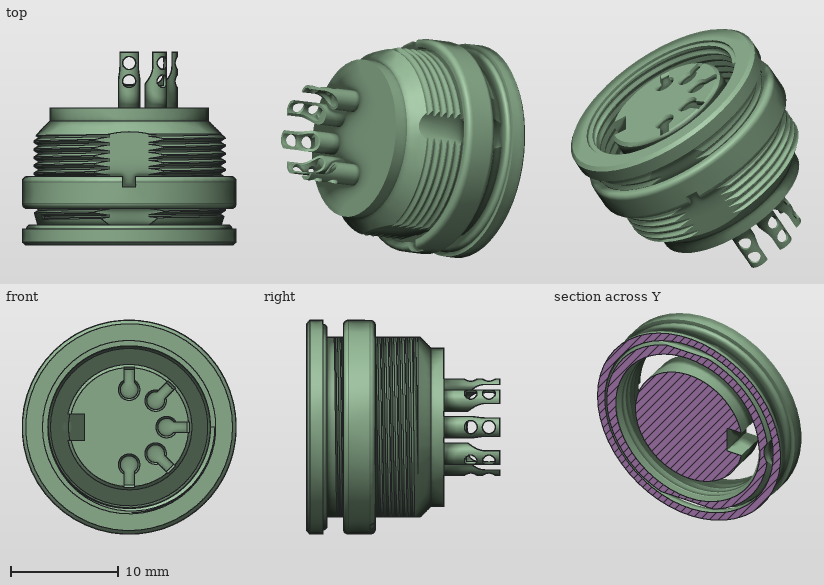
import cadquery as cq
import math


flange_radius = 10
flange_depth = 1.52
flange_chamfer_radial = 0.35
flange_chamfer_axial = 0.3
shoulder_radius = 9.6
shoulder_fillet = 0.38
shoulder_y = flange_depth + shoulder_fillet

collar_radius = 7.4
collar_y = 11.6
rear_y = 12.82
thread_radius = 9
thread_root_radius = 8.6
undercut_end_y = shoulder_y + 3 * (thread_radius - thread_root_radius)
thread_pitch = 0.75
thread_start_y = 2.6
thread_start_angle = 203
thread_turns = 11
thread_root_width = 0.18
thread_mouth_width = 0.65
thread_clearance = 0.05
flat_height = 8.4
scoop_radius = 1.9
scoop_bottom = 8.2

nut_front_y = 3.42
nut_width = 3
nut_fillet = 0.5
nut_relief_radius = 9.15
nut_relief_depth = 0.8
nut_slot_width = 1.22
nut_slot_depth = 1

counterbore_radius = 8.1
counterbore_depth = 0.25
bore_radius = 7.6
bore_step_y = 4.45
inner_bore_radius = 7.35
cavity_floor_y = 8
inner_thread_root_radius = 8
inner_thread_turns = 5.5

insert_radius = 5.85
insert_face_y = 0.6
insert_chamfer = 0.3
key_width = 2.5
key_bottom_radius = 4.15
key_seat_radius = 5.67
key_seat_height = 0.4

contact_circle_radius = 3.5
contact_angles = (-90, -45, 0, 45, 90)
socket_radius = 1
socket_floor_radius = 0.83
socket_taper_depth = 0.3
socket_depth = 0.5
socket_slot_width = 0.98
socket_slot_end = 5.4
socket_slot_chamfer = 0.32

pin_radius = 1
pin_end_y = 18.05
cup_radius = 0.75
cup_floor_y = 14.92
cup_cut_radius = 1.75
cup_lip_offset = 0.48
wire_hole_radius = 0.6
wire_hole_ys = (15.32, 17.02)

overlap = 0.2


def turned(points):
    """Solid of revolution about Y from (radius, y) corners."""
    return cq.Workplane("XY").polyline(points).close().revolve(360, (0, 0), (0, 1))


def cylinder(radius, start_y, end_y):
    """Cylinder along the part axis."""
    return turned([(0, start_y), (radius, start_y), (radius, end_y), (0, end_y)])


def about_axis(shape, angle):
    return shape.rotate((0, 0, 0), (0, 1, 0), angle)


def helical_groove(mouth_radius, root_radius, start_y, turns, start_angle):
    """Right-handed trapezoid groove; its flanks run a little past the mouth radius."""
    taper = (thread_mouth_width - thread_root_width) / 2 / abs(mouth_radius - root_radius)
    clear_radius = mouth_radius + math.copysign(thread_clearance, mouth_radius - root_radius)
    half_clear = thread_mouth_width / 2 + taper * thread_clearance
    half_root = thread_root_width / 2
    helix = cq.Wire.makeHelix(thread_pitch, turns * thread_pitch, mouth_radius)
    profile = cq.Workplane("XZ").polyline([
        (clear_radius, -half_clear),
        (root_radius, -half_root),
        (root_radius, half_root),
        (clear_radius, half_clear),
    ]).close()
    groove = profile.sweep(cq.Workplane(obj=helix), isFrenet=True)
    groove = groove.rotate((0, 0, 0), (1, 0, 0), -90).translate((0, start_y, 0))
    return about_axis(groove, start_angle)


def make_sleeve():
    cone_start_y = collar_y - (thread_radius - collar_radius)
    sleeve = turned([
        (0, 0),
        (thread_root_radius, 0),
        (thread_root_radius, shoulder_y),
        (thread_radius, undercut_end_y),
        (thread_radius, cone_start_y),
        (collar_radius, collar_y),
        (collar_radius, rear_y),
        (0, rear_y),
    ])
    groove = helical_groove(
        thread_radius, thread_root_radius, thread_start_y, thread_turns, thread_start_angle
    )
    sleeve = about_axis(sleeve, 90).cut(groove)
    flats = cq.Workplane("XY").box(3 * thread_radius, rear_y, 2 * flat_height, centered=(True, False, True))
    sleeve = sleeve.intersect(flats)
    scoop = cylinder(scoop_radius, 0, collar_y).translate((-scoop_bottom - scoop_radius, 0, 0))
    return sleeve.cut(scoop)


def make_flange():
    rim = turned([
        (0, 0),
        (flange_radius - flange_chamfer_radial, 0),
        (flange_radius, flange_chamfer_axial),
        (flange_radius, flange_depth),
        (0, flange_depth),
    ])
    shoulder = (
        cq.Workplane("XY")
        .moveTo(0, flange_depth)
        .lineTo(shoulder_radius, flange_depth)
        .radiusArc((shoulder_radius - shoulder_fillet, shoulder_y), -shoulder_fillet)
        .lineTo(0, shoulder_y)
        .close()
        .revolve(360, (0, 0), (0, 1))
    )
    return rim.union(shoulder)


def make_nut():
    nut_rear_y = nut_front_y + nut_width
    nut = cylinder(flange_radius, nut_front_y, nut_rear_y).edges().fillet(nut_fillet)
    nut = nut.cut(cylinder(nut_relief_radius, nut_front_y, nut_front_y + nut_relief_depth))
    nut = nut.cut(cylinder(nut_relief_radius, nut_rear_y - nut_relief_depth, nut_rear_y))
    slots = cq.Workplane("XY").box(nut_slot_width, 2 * nut_slot_depth, 2 * flange_radius)
    return nut.cut(slots.translate((0, nut_rear_y, 0)))


def make_cavity():
    """Stepped and threaded front bore, down to the floor around the insert."""
    bore_step = bore_radius - inner_bore_radius
    cavity = turned([
        (0, 0),
        (counterbore_radius, 0),
        (counterbore_radius, counterbore_depth),
        (bore_radius, counterbore_depth),
        (bore_radius, bore_step_y),
        (inner_bore_radius, bore_step_y + bore_step),
        (inner_bore_radius, cavity_floor_y),
        (0, cavity_floor_y),
    ])
    insert = turned([
        (0, insert_face_y),
        (insert_radius - insert_chamfer, insert_face_y),
        (insert_radius, insert_face_y + insert_chamfer),
        (insert_radius, cavity_floor_y),
        (0, cavity_floor_y),
    ])
    groove = helical_groove(
        bore_radius, inner_thread_root_radius, counterbore_depth, inner_thread_turns, 0
    )
    return about_axis(cavity.cut(insert), 180).union(groove)


def make_keyway():
    """Rectangular keyway along the -X side of the insert, with a low round seat at its floor."""
    key_height = insert_radius + overlap - key_bottom_radius
    keyway = cq.Workplane("XY").box(key_height, cavity_floor_y, key_width, centered=(False, False, True))
    keyway = keyway.translate((-insert_radius - overlap, 0, 0))
    return keyway.cut(cylinder(key_seat_radius, cavity_floor_y - key_seat_height, cavity_floor_y))


def make_socket():
    """Contact hole on +X with a tapered mouth and a slot whose end wall is chamfered."""
    floor_y = insert_face_y + socket_depth
    hole = turned([
        (0, insert_face_y),
        (socket_radius, insert_face_y),
        (socket_floor_radius, insert_face_y + socket_taper_depth),
        (socket_floor_radius, floor_y),
        (0, floor_y),
    ]).translate((contact_circle_radius, 0, 0))
    slot = (
        cq.Workplane("XY")
        .polyline([
            (contact_circle_radius, insert_face_y),
            (socket_slot_end + socket_slot_chamfer, insert_face_y),
            (socket_slot_end, insert_face_y + socket_slot_chamfer),
            (socket_slot_end, floor_y),
            (contact_circle_radius, floor_y),
        ])
        .close()
        .extrude(socket_slot_width / 2, both=True)
    )
    return hole.union(slot)


def make_pin():
    """Solder-cup pin on +X, open towards the axis."""
    lip_x = contact_circle_radius + cup_lip_offset
    inner_x = contact_circle_radius - pin_radius - overlap
    arc_bottom_x = lip_x - cup_cut_radius
    arc_start_y = cup_floor_y + cup_cut_radius
    pin = cylinder(pin_radius, rear_y - overlap, pin_end_y).translate((contact_circle_radius, 0, 0))
    cup = cylinder(cup_radius, cup_floor_y, pin_end_y).translate((contact_circle_radius, 0, 0))
    opening = (
        cq.Workplane("XY")
        .moveTo(lip_x, pin_end_y)
        .lineTo(lip_x, arc_start_y)
        .radiusArc((arc_bottom_x, cup_floor_y), cup_cut_radius)
        .lineTo(min(inner_x, arc_bottom_x - overlap), cup_floor_y)
        .lineTo(min(inner_x, arc_bottom_x - overlap), pin_end_y)
        .close()
        .extrude(2 * pin_radius, both=True)
    )
    pin = pin.cut(cup).cut(opening)
    for hole_y in wire_hole_ys:
        hole = cq.Workplane("YZ", origin=(contact_circle_radius, 0, 0)).center(hole_y, 0)
        pin = pin.cut(hole.circle(wire_hole_radius).extrude(pin_radius + overlap))
    return pin


result = make_sleeve().union(make_flange()).union(make_nut())
result = result.cut(make_cavity()).cut(make_keyway())
for angle in contact_angles:
    result = result.cut(about_axis(make_socket(), angle))
    result = result.union(about_axis(make_pin(), angle))